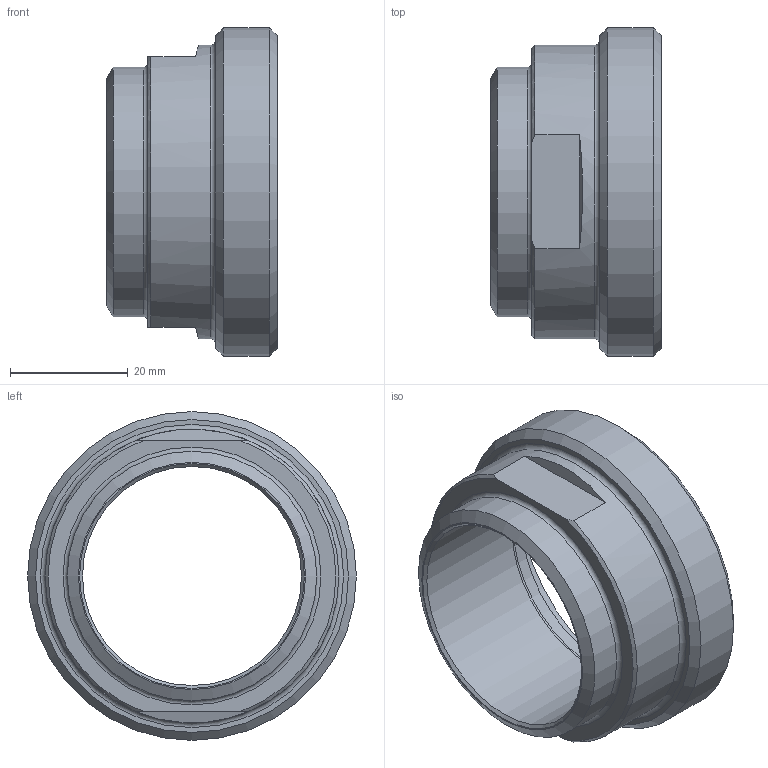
import cadquery as cq
import math

length = 29.0
shoulder_x = 7.0
collar_x = 18.5
relief_x = 21.0
counterbore_x = 23.5

nose_d = 42.4
body_d = 49.9
collar_d = 55.85
bore_d = 37.2
relief_d = 37.4
counterbore_d = 50.0

nose_chamfer_depth = 1.9
nose_chamfer_angle = 30.0
body_chamfer = 0.5
collar_chamfer = 1.35
nose_fillet = 0.7
body_fillet = 0.8
bore_chamfer = 0.5
relief_taper_angle = 12.0

across_flats = 46.0
flat_end_x = 15.1
flat_runout_angle = 15.0


def turned_body():
    """Outer shape, revolved about the X axis."""
    nose_r = nose_d / 2
    body_r = body_d / 2
    collar_r = collar_d / 2
    nose_chamfer_length = nose_chamfer_depth * math.tan(math.radians(nose_chamfer_angle))
    profile = (
        cq.Workplane("XY")
        .moveTo(0, 0)
        .lineTo(0, nose_r - nose_chamfer_depth)
        .lineTo(nose_chamfer_length, nose_r)
        .lineTo(shoulder_x - nose_fillet, nose_r)
        .radiusArc((shoulder_x, nose_r + nose_fillet), -nose_fillet)
        .lineTo(shoulder_x, body_r - body_chamfer)
        .lineTo(shoulder_x + body_chamfer, body_r)
        .lineTo(collar_x - body_fillet, body_r)
        .radiusArc((collar_x, body_r + body_fillet), -body_fillet)
        .lineTo(collar_x, collar_r - collar_chamfer)
        .lineTo(collar_x + collar_chamfer, collar_r)
        .lineTo(length - collar_chamfer, collar_r)
        .lineTo(length, collar_r - collar_chamfer)
        .lineTo(length, 0)
        .close()
    )
    return profile.revolve(360, (0, 0, 0), (1, 0, 0))


def bore():
    """Through bore with a chamfered mouth, a slightly wider rear stretch and a rear counterbore."""
    bore_r = bore_d / 2
    relief_r = relief_d / 2
    counterbore_r = counterbore_d / 2
    relief_taper_length = (relief_r - bore_r) / math.tan(math.radians(relief_taper_angle))
    profile = (
        cq.Workplane("XY")
        .moveTo(0, 0)
        .lineTo(0, bore_r + bore_chamfer)
        .lineTo(bore_chamfer, bore_r)
        .lineTo(relief_x, bore_r)
        .lineTo(relief_x + relief_taper_length, relief_r)
        .lineTo(counterbore_x, relief_r)
        .lineTo(counterbore_x, counterbore_r)
        .lineTo(length, counterbore_r)
        .lineTo(length, 0)
        .close()
    )
    return profile.revolve(360, (0, 0, 0), (1, 0, 0))


def flat_cutter():
    """Block that mills the upper wrench flat, with a sloped run-out at its rear end."""
    flat_z = across_flats / 2
    top_z = collar_d / 2
    runout = (top_z - flat_z) * math.tan(math.radians(flat_runout_angle))
    return (
        cq.Workplane("XZ")
        .moveTo(shoulder_x, flat_z)
        .lineTo(flat_end_x, flat_z)
        .lineTo(flat_end_x + runout, top_z)
        .lineTo(shoulder_x, top_z)
        .close()
        .extrude(body_d / 2, both=True)
    )


result = turned_body().cut(bore())
for turn in (0, 180):
    result = result.cut(flat_cutter().rotate((0, 0, 0), (1, 0, 0), turn))